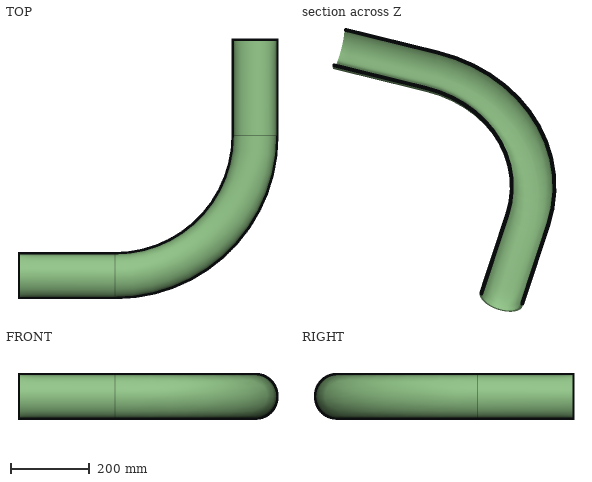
import cadquery as cq

overall_size = 658.0
outer_diameter = 114.5
wall_thickness = 6.0
straight_length = 245.0

outer_radius = outer_diameter / 2
inner_radius = outer_radius - wall_thickness
centerline_reach = overall_size - outer_radius
bend_radius = centerline_reach - straight_length


def tube_section(plane, origin):
    """Annular cross-section of the pipe, centered at the given origin."""
    return cq.Workplane(plane, origin=origin).circle(outer_radius).circle(inner_radius)


inlet = tube_section("YZ", (0, 0, 0)).extrude(straight_length)

bend = tube_section("YZ", (straight_length, 0, 0)).revolve(90, (bend_radius, 0), (bend_radius, 1))

outlet = tube_section("XZ", (centerline_reach, centerline_reach, 0)).extrude(straight_length)

result = inlet.union(bend).union(outlet)